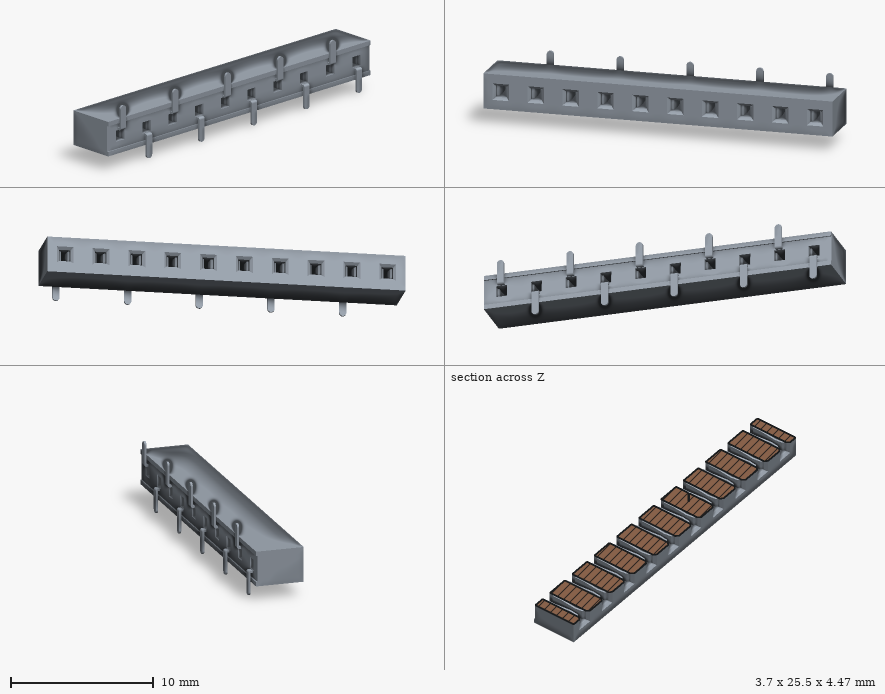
import cadquery as cq

pin_count = 10
pitch = 2.55
length = pin_count * pitch
height = 2.55
overall_depth = 3.7
housing_depth = 3.5
rear_recess = 0.1
rear_lip = 0.33

socket_side = 0.81
mouth_side = 1.2
mouth_depth = (mouth_side - socket_side) / 2

leaf_thickness = 0.13
leaf_height = 0.7
leaf_pinch_gap = 0.3
leaf_throat_gap = 0.45
leaf_flare = 0.13
leaf_tip_x = 0.3
leaf_throat_x = leaf_tip_x + leaf_flare
leaf_pinch_x = 1.02
leaf_root_x = 2.29
leaf_end_x = 3.05

tail_span = 4.47
tail_width = 0.5
tail_thickness = 0.15
tail_inner_z = 0.43
tail_root_x = 2.8

front_x = -overall_depth / 2
rear_x = front_x + housing_depth
tail_rear_x = overall_depth / 2
pin_positions = [(i - (pin_count - 1) / 2) * pitch for i in range(pin_count)]


def make_housing():
    bar = cq.Workplane("XY").box(housing_depth, length, height)
    bar = bar.translate((front_x + housing_depth / 2, 0, 0))
    recess = cq.Workplane("XY").box(2 * rear_recess, length, height - 2 * rear_lip)
    return bar.cut(recess.translate((rear_x, 0, 0)))


def make_socket():
    """Through socket with a pyramidal mouth, centred on Y = 0."""
    face = cq.Workplane("YZ", origin=(front_x, 0, 0))
    passage = face.rect(socket_side, socket_side).extrude(housing_depth)
    mouth = (
        face.rect(mouth_side, mouth_side)
        .workplane(offset=mouth_depth)
        .rect(socket_side, socket_side)
        .loft(ruled=True)
    )
    return passage.union(mouth)


def make_leaf():
    """Leaf on the +Y wall: flared tip, pinch point, then back to the wall."""
    wall_y = socket_side / 2
    pinch_y = leaf_pinch_gap / 2
    throat_y = leaf_throat_gap / 2
    root_y = wall_y - leaf_thickness
    return (
        cq.Workplane("XY", origin=(front_x, 0, -leaf_height / 2))
        .moveTo(leaf_tip_x, throat_y + leaf_flare)
        .lineTo(leaf_throat_x, throat_y)
        .lineTo(leaf_pinch_x, pinch_y)
        .lineTo(leaf_root_x, root_y)
        .lineTo(leaf_end_x, root_y)
        .lineTo(leaf_end_x, wall_y)
        .lineTo(leaf_root_x, wall_y)
        .lineTo(leaf_pinch_x, pinch_y + leaf_thickness)
        .lineTo(leaf_throat_x, throat_y + leaf_thickness)
        .close()
        .extrude(leaf_height)
    )


def make_tail():
    """Upward tail: L-shaped strip, rounded outside the bend and at its tip."""
    root_x = front_x + tail_root_x
    leg_front_x = tail_rear_x - tail_thickness
    bend_z = tail_inner_z + tail_thickness
    tip_z = tail_span / 2
    tip_radius = tail_width / 2
    strip = (
        cq.Workplane("XZ")
        .moveTo(root_x, tail_inner_z)
        .lineTo(leg_front_x, tail_inner_z)
        .radiusArc((tail_rear_x, bend_z), -tail_thickness)
        .lineTo(tail_rear_x, tip_z - tip_radius)
        .lineTo(leg_front_x, tip_z - tip_radius)
        .lineTo(leg_front_x, bend_z)
        .lineTo(root_x, bend_z)
        .close()
        .extrude(tail_width / 2, both=True)
    )
    tip = (
        cq.Workplane("YZ", origin=(leg_front_x, 0, tip_z - tip_radius))
        .moveTo(-tip_radius, 0)
        .threePointArc((0, tip_radius), (tip_radius, 0))
        .close()
        .extrude(tail_thickness)
    )
    return strip.union(tip)


socket = make_socket()
leaf = make_leaf()
leaves = leaf.union(leaf.mirror("XZ"))
tail_up = make_tail()
tail_down = tail_up.mirror("XY")

result = make_housing()
for y in pin_positions:
    result = result.cut(socket.translate((0, y, 0)))

for index, y in enumerate(pin_positions):
    tail = tail_up if index % 2 == 0 else tail_down
    result = result.union(leaves.translate((0, y, 0)))
    result = result.union(tail.translate((0, y, 0)))